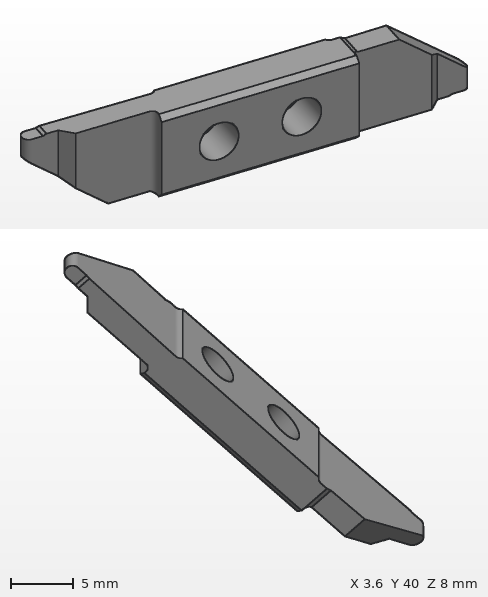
import cadquery as cq
import math

length = 40.0
thickness = 3.6
height = 8.0
half_length = length / 2
half_height = height / 2

body_half_length = 8.9
body_chamfer = 0.5
hole_diameter = 3.5
hole_offset = 3.7

neck_near_side = 0.3
neck_far_side = 2.45
near_fillet_start = 7.7
near_fillet_radius = 0.65
far_fillet_radius = 0.5
tip_near_side = 0.1
tip_far_side = 1.4
tip_radius = (tip_far_side - tip_near_side) / 2
tip_middle = (tip_near_side + tip_far_side) / 2
tip_start = half_length - tip_radius
shoulder_inner = 16.0
shoulder_outer = shoulder_inner + neck_far_side - tip_far_side

step_depth = 0.25
step_outer = 9.3
slope_start = 13.1
slope_drop_at_tip = 6.0
tip_step_depth = 0.1
tip_step_inner = 18.1
tip_step_outer = 18.4

diagonal = math.sqrt(0.5)


def end_plan():
    """Plan of the +Y half: body, neck and rounded tip."""
    near_arc_end = near_fillet_start + math.sqrt(
        near_fillet_radius**2 - (near_fillet_radius - neck_near_side) ** 2
    )
    near_arc_center_x = neck_near_side - near_fillet_radius
    near_arc_angle = math.acos((near_fillet_radius - neck_near_side) / near_fillet_radius) / 2
    near_arc_middle = (
        near_arc_center_x + near_fillet_radius * math.cos(near_arc_angle),
        near_arc_end - near_fillet_radius * math.sin(near_arc_angle),
    )
    far_arc_middle = (
        neck_far_side + far_fillet_radius * (1 - diagonal),
        body_half_length + far_fillet_radius * (1 - diagonal),
    )
    return (
        cq.Workplane("XY")
        .workplane(offset=-half_height)
        .moveTo(0, 0)
        .lineTo(thickness, 0)
        .lineTo(thickness, body_half_length)
        .lineTo(neck_far_side + far_fillet_radius, body_half_length)
        .threePointArc(far_arc_middle, (neck_far_side, body_half_length + far_fillet_radius))
        .lineTo(neck_far_side, shoulder_inner)
        .lineTo(tip_far_side, shoulder_outer)
        .lineTo(tip_far_side, tip_start)
        .threePointArc((tip_middle, half_length), (tip_near_side, tip_start))
        .lineTo(neck_near_side, near_arc_end)
        .threePointArc(near_arc_middle, (0, near_fillet_start))
        .close()
        .extrude(height)
    )


def end_profile():
    """Side profile of the +Y half, swept across the thickness."""
    return (
        cq.Workplane("YZ")
        .moveTo(0, -half_height)
        .lineTo(tip_step_inner, -half_height)
        .lineTo(tip_step_outer, tip_step_depth - half_height)
        .lineTo(half_length, tip_step_depth - half_height)
        .lineTo(half_length, half_height - slope_drop_at_tip)
        .lineTo(slope_start, half_height - step_depth)
        .lineTo(step_outer, half_height - step_depth)
        .lineTo(body_half_length, half_height)
        .lineTo(0, half_height)
        .close()
        .extrude(thickness)
    )


def body_chamfer_cut(side):
    """Wedge along the far edge of the body at the top (1) or bottom (-1)."""
    return (
        cq.Workplane("XZ")
        .workplane(offset=-half_length)
        .moveTo(thickness, side * half_height)
        .lineTo(thickness - body_chamfer, side * half_height)
        .lineTo(thickness, side * (half_height - body_chamfer))
        .close()
        .extrude(length)
    )


end = end_plan().intersect(end_profile())
blade = end.union(end.rotate((0, 0, 0), (1, 0, 0), 180)).clean()

for side in (-1, 1):
    blade = blade.cut(body_chamfer_cut(side))

holes = (
    cq.Workplane("YZ")
    .pushPoints([(-hole_offset, 0), (hole_offset, 0)])
    .circle(hole_diameter / 2)
    .extrude(thickness)
)

result = blade.cut(holes)